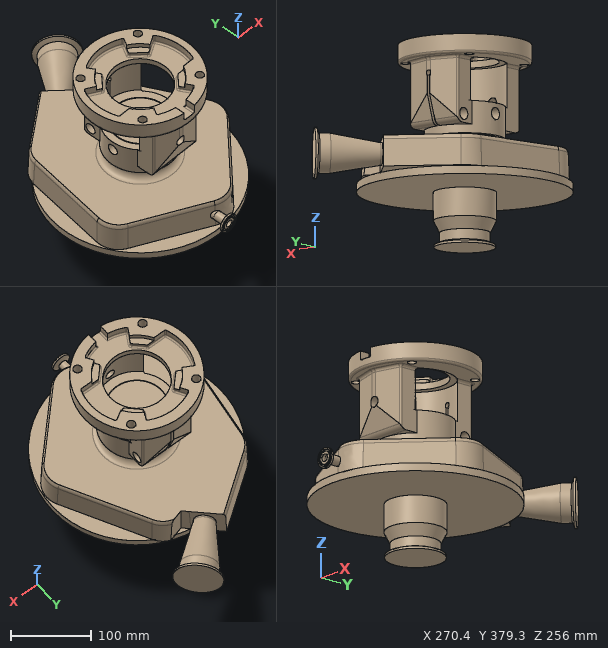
import cadquery as cq
import math


EPS = 0.5

BACK_PLATE_BOTTOM = 69.7
CASING_BOTTOM = 80.0
CASING_TOP = 120.0
HUB_BOTTOM = 136.5
HUB_TOP = 177.3
LEG_BOTTOM = 147.5
FLANGE_BOTTOM = 232.0
FLANGE_TOP = 256.0

SUCTION_FERRULE_RADIUS = 38.5
SUCTION_NECK_RADIUS = 32.0
SUCTION_PIPE_RADIUS = 39.5
SUCTION_CONE_BOTTOM = 18.5
SUCTION_CONE_TOP = 33.7
BACK_PLATE_RADIUS = 135.2
NECK_RADIUS = 45.0
NECK_FILLET = 10.2
HUB_RADIUS = 50.8
HUB_RECESS_RADIUS = 39.8
HUB_RECESS_DEPTH = 1.0
HUB_HOLE_RADIUS = 7.5
HUB_HOLE_HEIGHT = 163.5
HUB_HOLE_DEPTH = 15.0

LIP_RIM = 3.0
LIP_TAPER = 2.5

PENTAGON_WALL_DISTANCE = 114.5
PENTAGON_WALL_ANGLE = 26.8
PENTAGON_STEP = 72.0
OUTLET_SIDE_ANGLE = 125.3
OUTLET_SIDE_DISTANCE = 139.8
OUTLET_ANGLE = 45.0
OUTLET_DISTANCE = 110.5
SHOULDER_ANGLE = 105.5
SHOULDER_DISTANCE = 111.8
CROWN_ANGLE = 90.0
CROWN_DISTANCE = 133.5
CASING_DRAFT = 2.0
CASING_CORNER_RADIUS = 34.0
RIM_RADIUS = 7.2
RIM_EXTRA = 1.5

NOZZLE_SIDE_OFFSET = 95.5
NOZZLE_HEIGHT = 100.0
NOZZLE_FACE_DISTANCE = 195.5
NOZZLE_INLET_RADIUS = 14.5
NOZZLE_INLET_LENGTH = 2.3
NOZZLE_ROOT_DEPTH = 3.8
NOZZLE_PIPE_RADIUS = 25.5
NOZZLE_CONE_END = 176.0
NOZZLE_FERRULE_RADIUS = 32.2

DRAIN_FACE_DISTANCE = 150.8
DRAIN_HEIGHT = 98.5
DRAIN_TUBE_RADIUS = 6.5
DRAIN_BORE_RADIUS = 5.0
DRAIN_BORE_END = 129.5
DRAIN_FERRULE_RADIUS = 13.3
DRAIN_ROOT_DISTANCE = 121.2
DRAIN_GROOVE_OUTER_RADIUS = 11.0
DRAIN_GROOVE_INNER_RADIUS = 8.7
DRAIN_GROOVE_DEPTH = 1.5

LEG_HALF_WIDTH = 39.5
LEG_RIDGE_DISTANCE = 69.5
LEG_EDGE_DISTANCE = 59.0
LEG_RIDGE_HALF_WIDTH = 3.0
LEG_INNER_RADIUS = 52.5
LEG_INNER_TOP = 235.0
LEG_SLOPE_TOP = 185.2
LEG_TOE_DISTANCE = 57.5
LEG_TOE_FILLET = 9.5
LEG_EDGE_FILLET = 2.5
LEG_ROOT_FILLET = 3.8
FRONT_HOLE_HEIGHT = 189.8
FRONT_HOLE_RADIUS = 7.0
CLAMP_HOLE_DISTANCE = 47.7
CLAMP_HOLE_HEIGHT = 158.7
CLAMP_HOLE_RADIUS = 7.5
SLIT_WIDTH = 3.8
SLIT_TOP = 212.0
SLIT_END_RADIUS = 3.5

FLANGE_RADIUS = 83.7
FLANGE_BOTTOM_FILLET = 3.0
FLANGE_BORE_RADIUS = 42.8
POCKET_DEPTH = 12.5
POCKET_END_RADIUS = 69.5
POCKET_SIDE_RADIUS = 73.5
POCKET_FILLET = 2.3
SPIGOT_RADIUS = 57.0
SPIGOT_DEPTH = 6.5
TAB_FACE_DISTANCE = 47.5
TAB_LEVEL = 27.3
TAB_HALF_ANGLE = 15.0
BOLT_COUNT = 4
BOLT_CIRCLE_RADIUS = 74.2
BOLT_HOLE_RADIUS = 5.5
NOTCH_WIDTH = 19.0


def polar(radius, angle):
    return (radius * math.cos(math.radians(angle)), radius * math.sin(math.radians(angle)))


def cylinder(radius, bottom, top):
    return cq.Workplane("XY").workplane(offset=bottom).circle(radius).extrude(top - bottom)


def wall_corner(wall_a, wall_b):
    """Intersection of two walls, each given as (normal angle, distance from the shaft)."""
    angle_a, distance_a = math.radians(wall_a[0]), wall_a[1]
    angle_b, distance_b = math.radians(wall_b[0]), wall_b[1]
    det = math.sin(angle_b - angle_a)
    x = (distance_a * math.sin(angle_b) - distance_b * math.sin(angle_a)) / det
    y = (distance_b * math.cos(angle_a) - distance_a * math.cos(angle_b)) / det
    return (x, y)


def ferrule_points(lip_radius, tube_radius):
    """Half profile (radius, distance from face) of a clamp ferrule, from its face to its tube."""
    return [
        (0, 0),
        (lip_radius, 0),
        (lip_radius, LIP_RIM),
        (tube_radius, LIP_RIM + LIP_TAPER),
    ]


def make_shaft_body():
    """Suction pipe, back plate, flared neck and hub, with a blind hole in the side of the hub."""
    mid = NECK_FILLET * (1 - math.sqrt(0.5))
    profile = (
        cq.Workplane("XZ")
        .polyline(ferrule_points(SUCTION_FERRULE_RADIUS, SUCTION_NECK_RADIUS))
        .lineTo(SUCTION_NECK_RADIUS, SUCTION_CONE_BOTTOM)
        .lineTo(SUCTION_PIPE_RADIUS, SUCTION_CONE_TOP)
        .lineTo(SUCTION_PIPE_RADIUS, BACK_PLATE_BOTTOM)
        .lineTo(BACK_PLATE_RADIUS, BACK_PLATE_BOTTOM)
        .lineTo(BACK_PLATE_RADIUS, CASING_BOTTOM)
        .lineTo(NECK_RADIUS + NECK_FILLET, CASING_BOTTOM)
        .lineTo(NECK_RADIUS + NECK_FILLET, CASING_TOP)
        .threePointArc((NECK_RADIUS + mid, CASING_TOP + mid), (NECK_RADIUS, CASING_TOP + NECK_FILLET))
        .lineTo(NECK_RADIUS, HUB_BOTTOM)
        .lineTo(HUB_RADIUS, HUB_BOTTOM)
        .lineTo(HUB_RADIUS, HUB_TOP)
        .lineTo(HUB_RECESS_RADIUS, HUB_TOP)
        .lineTo(HUB_RECESS_RADIUS, HUB_TOP - HUB_RECESS_DEPTH)
        .lineTo(0, HUB_TOP - HUB_RECESS_DEPTH)
        .close()
    )
    body = profile.revolve(360, (0, 0, 0), (0, 1, 0))
    hub_hole = (
        cq.Workplane("YZ", origin=(-HUB_RADIUS - EPS, 0, HUB_HOLE_HEIGHT))
        .circle(HUB_HOLE_RADIUS)
        .extrude(HUB_HOLE_DEPTH + EPS)
    )
    return body.cut(hub_hole)


def casing_corners(inset):
    """Corners of the casing outline, with every wall but the outlet moved in by the inset."""
    drafted = [(OUTLET_SIDE_ANGLE, OUTLET_SIDE_DISTANCE - inset)]
    for step in (2, 3, 4, 5):
        angle = PENTAGON_WALL_ANGLE + PENTAGON_STEP * step
        drafted.append((angle, PENTAGON_WALL_DISTANCE - inset))
    drafted.append((CROWN_ANGLE, CROWN_DISTANCE - inset))
    walls = drafted + [(OUTLET_ANGLE, OUTLET_DISTANCE)]
    return [wall_corner(walls[i - 1], walls[i]) for i in range(len(walls))]


def make_casing():
    height = CASING_TOP + RIM_EXTRA - CASING_BOTTOM
    inset = height * math.tan(math.radians(CASING_DRAFT))
    base_corners = casing_corners(0)
    casing = (
        cq.Workplane("XY", origin=(0, 0, CASING_BOTTOM))
        .polyline(base_corners)
        .close()
        .workplane(offset=height)
        .polyline(casing_corners(inset))
        .close()
        .loft(ruled=True, combine=True)
    )
    for x, y in base_corners[1:6]:
        upright = cq.selectors.NearestToPointSelector((x, y, CASING_BOTTOM + height / 2))
        casing = casing.edges(upright).fillet(CASING_CORNER_RADIUS)

    end_a, end_b = base_corners[-1], base_corners[0]
    outlet_middle = ((end_a[0] + end_b[0]) / 2, (end_a[1] + end_b[1]) / 2, CASING_TOP)
    outlet_rim = casing.faces(">Z").edges(cq.selectors.NearestToPointSelector(outlet_middle)).val()
    rim = [edge for edge in casing.faces(">Z").edges().vals() if not edge.isSame(outlet_rim)]
    casing = casing.newObject(rim).fillet(RIM_RADIUS)
    casing = casing.cut(cylinder(2 * BACK_PLATE_RADIUS, CASING_TOP, CASING_TOP + 2 * RIM_EXTRA))

    foot = wall_corner((SHOULDER_ANGLE, SHOULDER_DISTANCE), (OUTLET_ANGLE, OUTLET_DISTANCE))
    along_shoulder = polar(BACK_PLATE_RADIUS, SHOULDER_ANGLE - 90)
    along_outlet = polar(BACK_PLATE_RADIUS, OUTLET_ANGLE + 90)
    notch = (
        cq.Workplane("XY", origin=(0, 0, CASING_BOTTOM))
        .polyline([
            foot,
            (foot[0] + along_shoulder[0], foot[1] + along_shoulder[1]),
            (foot[0] + along_outlet[0], foot[1] + along_outlet[1]),
        ])
        .close()
        .extrude(height)
    )
    return casing.cut(notch)


def make_nozzle():
    """Discharge cone and ferrule, square to the outlet wall."""
    face = NOZZLE_FACE_DISTANCE
    root = OUTLET_DISTANCE - NOZZLE_ROOT_DEPTH
    cone_start = OUTLET_DISTANCE + NOZZLE_INLET_LENGTH
    profile = (
        cq.Workplane("XY")
        .polyline(ferrule_points(NOZZLE_FERRULE_RADIUS, NOZZLE_PIPE_RADIUS))
        .lineTo(NOZZLE_PIPE_RADIUS, face - NOZZLE_CONE_END)
        .lineTo(NOZZLE_INLET_RADIUS, face - cone_start)
        .lineTo(NOZZLE_INLET_RADIUS, face - root)
        .lineTo(0, face - root)
        .close()
    )
    return (
        profile.revolve(360, (0, 0, 0), (0, 1, 0))
        .rotate((0, 0, 0), (0, 0, 1), 180)
        .translate((-NOZZLE_SIDE_OFFSET, face, NOZZLE_HEIGHT))
        .rotate((0, 0, 0), (0, 0, 1), OUTLET_ANGLE - 90)
    )


def make_drain():
    length = DRAIN_FACE_DISTANCE - DRAIN_ROOT_DISTANCE
    profile = (
        cq.Workplane("XY")
        .polyline(ferrule_points(DRAIN_FERRULE_RADIUS, DRAIN_TUBE_RADIUS))
        .lineTo(DRAIN_TUBE_RADIUS, length)
        .lineTo(0, length)
        .close()
    )
    tube = profile.revolve(360, (0, 0, 0), (0, 1, 0))
    return tube.translate((0, -DRAIN_FACE_DISTANCE, DRAIN_HEIGHT))


def make_drain_cuts():
    """Drain bore, ending at the casing wall, and the gasket groove in the ferrule face."""
    bore = (
        cq.Workplane("XZ", origin=(0, -DRAIN_BORE_END, DRAIN_HEIGHT))
        .circle(DRAIN_BORE_RADIUS)
        .extrude(DRAIN_FACE_DISTANCE - DRAIN_BORE_END + EPS)
    )
    groove = (
        cq.Workplane("XZ", origin=(0, DRAIN_GROOVE_DEPTH - DRAIN_FACE_DISTANCE, DRAIN_HEIGHT))
        .circle(DRAIN_GROOVE_OUTER_RADIUS)
        .circle(DRAIN_GROOVE_INNER_RADIUS)
        .extrude(DRAIN_GROOVE_DEPTH + EPS)
    )
    return bore, groove


def make_leg():
    """Leg on the -Y side: ridged outer face with rounded side edges and a sloped, rounded toe."""
    leg = (
        cq.Workplane("XY")
        .workplane(offset=LEG_BOTTOM)
        .moveTo(-LEG_HALF_WIDTH, 0)
        .lineTo(-LEG_HALF_WIDTH, -LEG_EDGE_DISTANCE)
        .lineTo(-LEG_RIDGE_HALF_WIDTH, -LEG_RIDGE_DISTANCE)
        .lineTo(LEG_RIDGE_HALF_WIDTH, -LEG_RIDGE_DISTANCE)
        .lineTo(LEG_HALF_WIDTH, -LEG_EDGE_DISTANCE)
        .lineTo(LEG_HALF_WIDTH, 0)
        .close()
        .extrude(FLANGE_BOTTOM - LEG_BOTTOM)
    )
    side_edges = cq.selectors.BoxSelector(
        (-LEG_HALF_WIDTH - EPS, -LEG_EDGE_DISTANCE - EPS, LEG_BOTTOM),
        (LEG_HALF_WIDTH + EPS, -LEG_EDGE_DISTANCE + EPS, FLANGE_BOTTOM),
    )
    leg = leg.edges("|Z").edges(side_edges).fillet(LEG_EDGE_FILLET)
    toe = (
        cq.Workplane("YZ")
        .polyline([
            (-LEG_RIDGE_DISTANCE, LEG_SLOPE_TOP),
            (-LEG_TOE_DISTANCE, LEG_BOTTOM),
            (-LEG_RIDGE_DISTANCE - 3.8, LEG_BOTTOM - 3.8),
            (-LEG_RIDGE_DISTANCE - 3.8, LEG_SLOPE_TOP),
        ])
        .close()
        .extrude(LEG_HALF_WIDTH + 3.8, both=True)
    )
    leg = leg.cut(toe)
    return leg.faces("<Z").edges("<Y").fillet(LEG_TOE_FILLET)


def make_flange():
    flange = cylinder(FLANGE_RADIUS, FLANGE_BOTTOM, FLANGE_TOP)
    return flange.faces("<Z").edges().fillet(FLANGE_BOTTOM_FILLET)


def make_tabs():
    """Tabs on the diagonals: radial flanks, but level ones facing the X pockets on the -Y side."""
    inner = TAB_FACE_DISTANCE / math.cos(math.radians(TAB_HALF_ANGLE))
    outer = 2 * FLANGE_RADIUS
    low, high = 45 - TAB_HALF_ANGLE, 45 + TAB_HALF_ANGLE
    level_start = TAB_FACE_DISTANCE * math.sqrt(2) - TAB_LEVEL
    right_tabs = (
        cq.Workplane("XY", origin=(0, 0, FLANGE_TOP - POCKET_DEPTH))
        .polyline([polar(inner, low), polar(outer, low), polar(outer, high), polar(inner, high)])
        .close()
        .polyline([
            (level_start, -TAB_LEVEL),
            (outer, -TAB_LEVEL),
            polar(outer, -high),
            polar(inner, -high),
        ])
        .close()
        .extrude(POCKET_DEPTH)
    )
    return right_tabs.union(right_tabs.mirror("YZ"))


def make_pocket():
    """Recess in the motor face, leaving four tabs, plus the flange bore, bolt holes and notch."""
    floor = FLANGE_TOP - POCKET_DEPTH
    pocket = cylinder(POCKET_SIDE_RADIUS, floor, FLANGE_TOP)
    reach = 2 * FLANGE_RADIUS
    end_sectors = (
        cq.Workplane("XY")
        .workplane(offset=floor)
        .polyline([(0, 0), polar(reach, 45), polar(reach, 135)])
        .close()
        .polyline([(0, 0), polar(reach, 225), polar(reach, 315)])
        .close()
        .extrude(POCKET_DEPTH)
    )
    pocket = pocket.cut(end_sectors.cut(cylinder(POCKET_END_RADIUS, floor, FLANGE_TOP)))
    pocket = pocket.cut(make_tabs())
    pocket = pocket.edges("|Z").fillet(POCKET_FILLET)

    notch_length = FLANGE_RADIUS + 3.8
    notch = (
        cq.Workplane("XY")
        .box(NOTCH_WIDTH, notch_length, POCKET_DEPTH, centered=(True, False, False))
        .translate((0, -notch_length, floor))
    )
    pocket = pocket.union(notch)
    pocket = pocket.faces("<Z").edges().fillet(POCKET_FILLET)

    pocket = pocket.union(cylinder(SPIGOT_RADIUS, FLANGE_TOP - SPIGOT_DEPTH, FLANGE_TOP))
    pocket = pocket.union(cylinder(FLANGE_BORE_RADIUS, FLANGE_BOTTOM - EPS, FLANGE_TOP))
    bolts = (
        cq.Workplane("XY")
        .workplane(offset=FLANGE_BOTTOM - EPS)
        .polarArray(BOLT_CIRCLE_RADIUS, 45, 360, BOLT_COUNT)
        .circle(BOLT_HOLE_RADIUS)
        .extrude(FLANGE_TOP - FLANGE_BOTTOM + EPS)
    )
    return pocket.union(bolts)


def make_lantern():
    """Motor flange on two legs that clasp the hub; the +Y leg is slit for clamping."""
    front_leg = make_leg()
    rear_leg = front_leg.mirror("XZ")
    lantern = make_flange().union(front_leg).union(rear_leg)
    seat = cylinder(HUB_RADIUS, LEG_BOTTOM - EPS, HUB_TOP)
    relief = cylinder(LEG_INNER_RADIUS, HUB_TOP, LEG_INNER_TOP)
    lantern = lantern.cut(seat).cut(relief)

    root = cq.selectors.BoxSelector(
        (-LEG_HALF_WIDTH - EPS, -LEG_RIDGE_DISTANCE - EPS, FLANGE_BOTTOM - EPS),
        (LEG_HALF_WIDTH + EPS, LEG_RIDGE_DISTANCE + EPS, FLANGE_BOTTOM + EPS),
    )
    lantern = lantern.edges(root).edges("not %CIRCLE").fillet(LEG_ROOT_FILLET)

    front_hole = (
        cq.Workplane("XZ", origin=(0, 0, FRONT_HOLE_HEIGHT))
        .circle(FRONT_HOLE_RADIUS)
        .extrude(FLANGE_RADIUS)
    )
    slit = (
        cq.Workplane("XY")
        .box(SLIT_WIDTH, FLANGE_RADIUS, SLIT_TOP - LEG_BOTTOM + EPS, centered=(True, False, False))
        .translate((0, 0, LEG_BOTTOM - EPS))
    )
    slit_end = (
        cq.Workplane("XZ", origin=(0, 0, SLIT_TOP))
        .circle(SLIT_END_RADIUS)
        .extrude(-FLANGE_RADIUS)
    )
    lantern = lantern.cut(front_hole).cut(slit).cut(slit_end)
    return lantern.cut(make_pocket())


clamp_hole = (
    cq.Workplane("YZ", origin=(-FLANGE_RADIUS, CLAMP_HOLE_DISTANCE, CLAMP_HOLE_HEIGHT))
    .circle(CLAMP_HOLE_RADIUS)
    .extrude(2 * FLANGE_RADIUS)
)
drain_bore, drain_groove = make_drain_cuts()
result = (
    make_shaft_body()
    .union(make_casing())
    .union(make_nozzle())
    .union(make_drain())
    .union(make_lantern())
    .cut(clamp_hole)
    .cut(drain_bore)
    .cut(drain_groove)
)